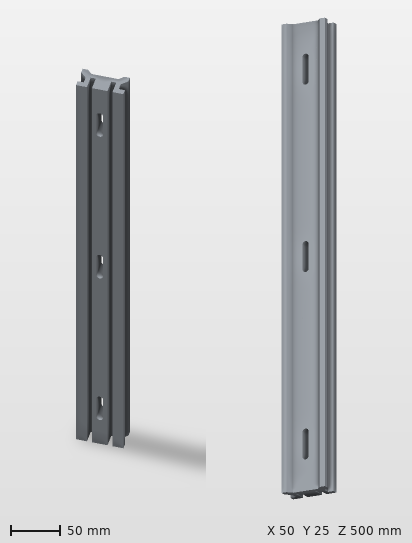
import cadquery as cq

width = 50.0
depth = 25.0
length = 500.0

foot_thickness = 6.0
neck_half_width = 18.5
lip_thickness = 5.5
lip_half_opening = 19.25
recess_depth = 5.0
groove_depth = 14.5
groove_inner_x = 8.25
groove_outer_x = 13.5

slot_width = 7.0
slot_length = 33.0
slot_count = 3
slot_pitch = 200.0

half_width = width / 2
lip_underside_y = depth - lip_thickness
neck_top_y = lip_underside_y - (half_width - neck_half_width)
recess_floor_y = depth - recess_depth
recess_half_floor = lip_half_opening - recess_depth


def half_outline():
    """Right half of the cross-section in XY, from the bottom centre to the recess centre."""
    return [
        (0, 0),
        (groove_inner_x, 0),
        (groove_inner_x, groove_depth),
        (groove_outer_x, groove_depth),
        (groove_outer_x, 0),
        (half_width, 0),
        (half_width, foot_thickness),
        (neck_half_width, foot_thickness),
        (neck_half_width, neck_top_y),
        (half_width, lip_underside_y),
        (half_width, depth),
        (lip_half_opening, depth),
        (recess_half_floor, recess_floor_y),
        (0, recess_floor_y),
    ]


def make_rail():
    """Symmetric profile extruded along Z, centred on the origin lengthwise."""
    right_half = cq.Workplane("XY").polyline(half_outline()).close().extrude(length / 2, both=True)
    return right_half.union(right_half.mirror("YZ")).clean()


def make_slots():
    """Round-ended slots running through the full depth along Y."""
    return (
        cq.Workplane("XZ")
        .rarray(1, slot_pitch, 1, slot_count)
        .slot2D(slot_length, slot_width, 90)
        .extrude(-depth)
    )


result = make_rail().cut(make_slots())